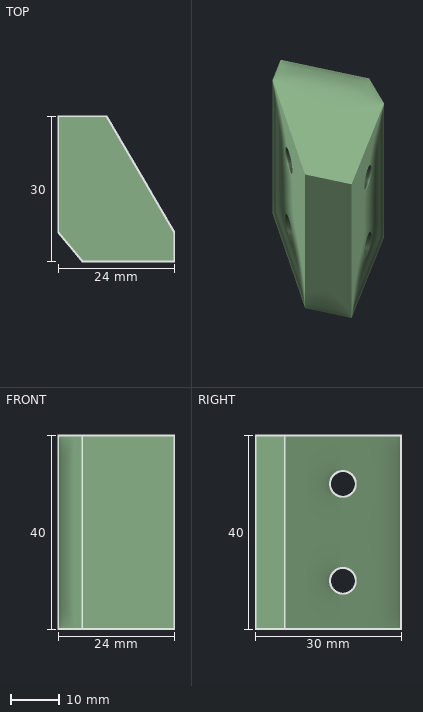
import cadquery as cq

width = 24.0
depth = 30.0
height = 40.0

back_width = 10.0
right_side_depth = 6.0
bevel_width = 5.0
bevel_depth = 6.0

hole_diameter = 5.3
hole_y = 18.0
hole_spacing = height / 2


def make_body():
    """Upright block with a sloping right face and a bevelled corner."""
    outline = [
        (bevel_width, 0),
        (width, 0),
        (width, right_side_depth),
        (back_width, depth),
        (0, depth),
        (0, bevel_depth),
    ]
    return cq.Workplane("XY").polyline(outline).close().extrude(height)


def make_holes():
    """Two through holes, one above the other, centred on the height."""
    centres = [(hole_y, height / 2 + side * hole_spacing / 2) for side in (-1, 1)]
    return cq.Workplane("YZ").pushPoints(centres).circle(hole_diameter / 2).extrude(width)


result = make_body().cut(make_holes())